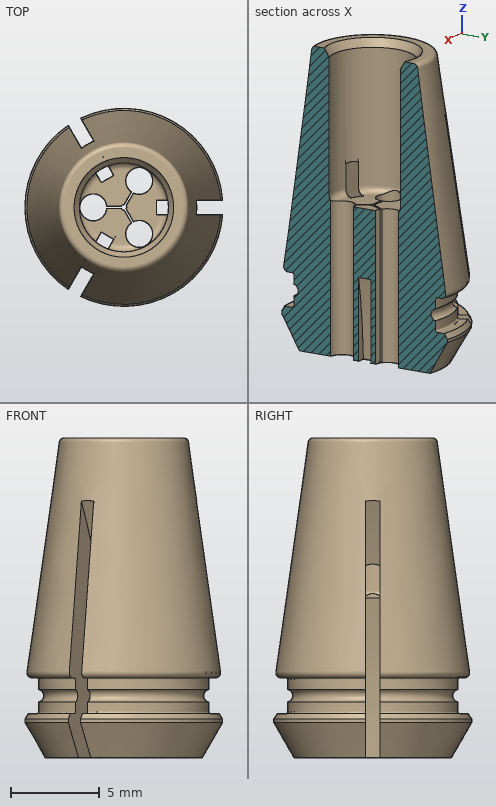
import cadquery as cq
import math

length = 18.0
tip_radius = 3.645
tip_fillet = 0.3
taper_angle = 8.0
tip_edge_z = length - tip_fillet

neck_bottom_z = 2.5
neck_top_z = 4.5
neck_radius = 4.79
neck_corner_fillet = 0.1
groove_half_width = 0.35
groove_depth = 0.28

flange_radius = 5.57
flange_top_radius = 5.37
flange_low_z = 2.0
flange_high_z = 2.18
nose_radius = 4.42
nose_fillet = 0.1
taper_base_fillet = 0.3

bore_diameter = 5.0
mouth_radius = 2.8
mouth_depth = 0.5
floor_z = 9.0
floor_fillet = 0.4
pilot_diameter = 0.3

slot_count = 3
slot_pitch = 360.0 / slot_count
seam_angle = slot_pitch / 4
slot_width = 0.8
slot_top_z = 14.47
slot_bore_break_z = 10.9
slot_floor_reach = 1.845
relief_hole_diameter = 1.5
relief_hole_radius = 1.72
slit_width = 0.12

selection_margin = 0.02


def taper_radius(z):
    """Outer radius of the long taper at height z."""
    return tip_radius + (tip_edge_z - z) * math.tan(math.radians(taper_angle))


def circle_at(z, radius):
    """Selector for the full circular edge of the given radius at height z."""
    reach = radius + selection_margin
    inside = radius - selection_margin
    low = z - selection_margin
    high = z + selection_margin
    outer = cq.selectors.BoxSelector((-reach, -reach, low), (reach, reach, high), boundingbox=True)
    inner = cq.selectors.BoxSelector((-inside, -inside, low), (inside, inside, high), boundingbox=True)
    return cq.selectors.SubtractSelector(outer, inner)


def circle_through(first, second, third):
    """Center coordinates and radius of the circle through three points."""
    (ax, ay), (bx, by), (cx, cy) = first, second, third
    double_cross = 2 * (ax * (by - cy) + bx * (cy - ay) + cx * (ay - by))
    a_square = ax**2 + ay**2
    b_square = bx**2 + by**2
    c_square = cx**2 + cy**2
    center_x = (a_square * (by - cy) + b_square * (cy - ay) + c_square * (ay - by)) / double_cross
    center_y = (a_square * (cx - bx) + b_square * (ax - cx) + c_square * (bx - ax)) / double_cross
    return center_x, center_y, math.hypot(ax - center_x, ay - center_y)


def make_body():
    """Revolve the outer profile, then round the taper ends, nose and neck corners."""
    groove_mid_z = (neck_bottom_z + neck_top_z) / 2
    profile = (
        cq.Workplane("XZ")
        .moveTo(0, 0)
        .lineTo(nose_radius, 0)
        .lineTo(flange_radius, flange_low_z)
        .lineTo(flange_radius, flange_high_z)
        .lineTo(flange_top_radius, neck_bottom_z)
        .lineTo(neck_radius, neck_bottom_z)
        .lineTo(neck_radius, groove_mid_z - groove_half_width)
        .threePointArc(
            (neck_radius - groove_depth, groove_mid_z),
            (neck_radius, groove_mid_z + groove_half_width),
        )
        .lineTo(neck_radius, neck_top_z)
        .lineTo(taper_radius(neck_top_z), neck_top_z)
        .lineTo(taper_radius(length), length)
        .lineTo(0, length)
        .close()
    )
    body = profile.revolve(360, (0, 0, 0), (0, 1, 0))
    body = body.faces(">Z").edges().fillet(tip_fillet)
    body = body.edges(circle_at(0, nose_radius)).fillet(nose_fillet)
    body = body.edges(circle_at(neck_top_z, taper_radius(neck_top_z))).fillet(taper_base_fillet)
    body = body.edges(circle_at(neck_top_z, neck_radius)).fillet(neck_corner_fillet)
    return body.edges(circle_at(neck_bottom_z, neck_radius)).fillet(neck_corner_fillet)


def make_bore():
    """Blind bore with a rounded floor and a flared mouth."""
    bore_radius = bore_diameter / 2
    bore = (
        cq.Workplane("XY", origin=(0, 0, floor_z))
        .circle(bore_radius)
        .extrude(length - floor_z)
        .faces("<Z")
        .edges()
        .fillet(floor_fillet)
    )
    flare = (
        cq.Workplane("XY", origin=(0, 0, length - mouth_depth))
        .circle(bore_radius)
        .workplane(offset=mouth_depth)
        .circle(mouth_radius)
        .loft(ruled=True)
    )
    return bore.union(flare)


def make_slot():
    """Radial slot along +X, swept by a round saw that enters from outside.

    The saw rim passes through three points: where it leaves the taper, where
    it breaks into the bore wall and where it crosses the bore floor.
    """
    top_radius = taper_radius(slot_top_z)
    bore_radius = bore_diameter / 2
    center_x, center_z, saw_radius = circle_through(
        (top_radius, slot_top_z),
        (bore_radius, slot_bore_break_z),
        (slot_floor_reach, floor_z),
    )
    return (
        cq.Workplane("XZ")
        .center(center_x, center_z)
        .circle(saw_radius)
        .extrude(slot_width / 2, both=True)
    )


def make_relief():
    """Relief hole on the -X side with the thin slit joining it to the axis."""
    hole = (
        cq.Workplane("XY")
        .center(-relief_hole_radius, 0)
        .circle(relief_hole_diameter / 2)
        .extrude(floor_z + floor_fillet)
    )
    slit = (
        cq.Workplane("XY")
        .center(-relief_hole_radius / 2, 0)
        .rect(relief_hole_radius, slit_width)
        .extrude(floor_z)
    )
    return hole.union(slit)


def turned(shape, angle):
    """Copy of a shape turned about the Z axis."""
    return shape.rotate((0, 0, 0), (0, 0, 1), angle)


blank = turned(make_body().cut(make_bore()), seam_angle)
pilot = cq.Workplane("XY").circle(pilot_diameter / 2).extrude(floor_z)
result = blank.cut(pilot)
for index in range(slot_count):
    turn = index * slot_pitch
    result = result.cut(turned(make_slot(), turn))
    result = result.cut(turned(make_relief(), turn))